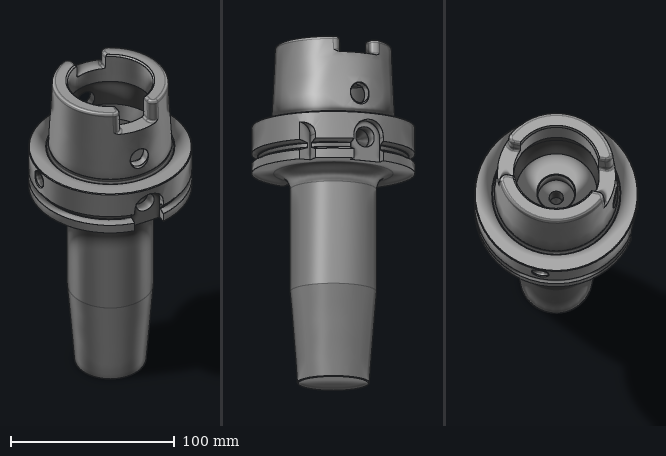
import cadquery as cq
import math

top_z = 49.9
tip_z = -160.0

gauge_z = 10.0
gauge_radius = 37.5
taper_slope = 0.05
top_round = 2.0

relief_top_z = 2.6
relief_radius = 37.2
relief_outer_radius = 39.5
relief_depth = 0.6
relief_round = 1.0

flange_radius = 50.0
flange_chamfer = 0.5
flange_bottom_z = -29.1
groove_radius = 46.0
groove_upper_z = -16.9
groove_lower_z = -23.4
groove_flank_height = 1.7
groove_fillet = 0.5

neck_radius = 26.5
neck_fillet = 10.0
nose_radius = 22.0
nose_angle = math.radians(4.5)
nose_chamfer = 0.5

mouth_radius = 27.2
bore_radius = 26.2
bore_end_z = 30.2
undercut_radius = 31.5
undercut_end_z = 9.3
floor_radius = 25.0
tube_seat_radius = 11.9
tube_seat_depth = 10.0
tube_seat_chamfer = 0.5
coolant_hole_radius = 4.3
coolant_hole_depth = 12.0

drive_slot_width = 20.0
drive_slot_floor_left = 40.0
drive_slot_floor_right = 35.0
drive_slot_corner = 4.0
drive_slot_floor_fillet = 1.5

cross_hole_radius = 6.2
cross_hole_z = 14.8
cross_hole_chamfer = 0.7

keyway_width = 20.0
keyway_arc_z = -14.3
keyway_floor_x = 44.0
keyway_hole_radius = 6.3
keyway_hole_z = -14.2
keyway_hole_depth = 8.0

notch_floor_x = 31.8
notch_wall_y = 31.3
notch_arc_radius = 8.0
notch_arc_z = -14.0

chip_radius = 5.0
chip_chamfer = 0.7
chip_z = -7.3
chip_depth = 4.6
chip_pilot_radius = 0.5
chip_pilot_depth = 2.0

drill_half_angle = math.radians(59)
tolerance = 0.01


def taper_radius(z):
    return gauge_radius - taper_slope * (z - gauge_z)


def make_body():
    """Solid of revolution for the nose, neck, flange and tapered shank."""
    nose_start_z = tip_z + (neck_radius - nose_radius) / math.tan(nose_angle)
    nose_chamfer_radius = nose_radius + nose_chamfer * math.tan(nose_angle)
    fillet_mid = neck_fillet * (1 - math.sqrt(0.5))
    relief_step = taper_radius(relief_top_z) - relief_radius
    body = (
        cq.Workplane("XZ")
        .moveTo(0, tip_z)
        .lineTo(nose_radius - nose_chamfer, tip_z)
        .lineTo(nose_chamfer_radius, tip_z + nose_chamfer)
        .lineTo(neck_radius, nose_start_z)
        .lineTo(neck_radius, flange_bottom_z - neck_fillet)
        .threePointArc(
            (neck_radius + fillet_mid, flange_bottom_z - fillet_mid),
            (neck_radius + neck_fillet, flange_bottom_z),
        )
        .lineTo(flange_radius, flange_bottom_z)
        .lineTo(flange_radius, groove_lower_z)
        .lineTo(groove_radius, groove_lower_z + groove_flank_height)
        .lineTo(groove_radius, groove_upper_z - groove_flank_height)
        .lineTo(flange_radius, groove_upper_z)
        .lineTo(flange_radius, -flange_chamfer)
        .lineTo(flange_radius - flange_chamfer, 0)
        .lineTo(relief_outer_radius, 0)
        .lineTo(relief_outer_radius - relief_depth, -relief_depth)
        .lineTo(relief_radius + relief_round, -relief_depth)
        .radiusArc((relief_radius, relief_round - relief_depth), relief_round)
        .lineTo(relief_radius, relief_top_z - relief_step)
        .lineTo(taper_radius(relief_top_z), relief_top_z)
        .lineTo(taper_radius(top_z), top_z)
        .lineTo(0, top_z)
        .close()
        .revolve(360, (0, 0, 0), (0, 1, 0))
    )
    return round_groove_floor(body)


def round_groove_floor(body):
    """Fillets in both inner corners of the V groove."""
    upper_z = groove_upper_z - groove_flank_height
    lower_z = groove_lower_z + groove_flank_height
    corners = [
        edge
        for edge in body.edges("%CIRCLE").vals()
        if min(abs(edge.Center().z - upper_z), abs(edge.Center().z - lower_z)) < tolerance
    ]
    return body.newObject(corners).fillet(groove_fillet)


def make_cavity():
    """Bore, undercut with a 45-degree foot, coolant tube seat and drilled coolant hole."""
    mouth_chamfer = mouth_radius - bore_radius
    floor_z = undercut_end_z - (undercut_radius - floor_radius)
    seat_z = floor_z - tube_seat_depth
    hole_z = seat_z - coolant_hole_depth
    cone_height = coolant_hole_radius / math.tan(drill_half_angle)
    return (
        cq.Workplane("XZ")
        .moveTo(0, top_z)
        .lineTo(mouth_radius, top_z)
        .lineTo(bore_radius, top_z - mouth_chamfer)
        .lineTo(bore_radius, bore_end_z)
        .lineTo(undercut_radius, bore_end_z)
        .lineTo(undercut_radius, undercut_end_z)
        .lineTo(floor_radius, floor_z)
        .lineTo(tube_seat_radius, floor_z)
        .lineTo(tube_seat_radius - tube_seat_chamfer, floor_z - tube_seat_chamfer)
        .lineTo(tube_seat_radius - tube_seat_chamfer, seat_z)
        .lineTo(coolant_hole_radius, seat_z)
        .lineTo(coolant_hole_radius, hole_z)
        .lineTo(0, hole_z - cone_height)
        .close()
        .revolve(360, (0, 0, 0), (0, 1, 0))
    )


def on_slot_wall(edge):
    return abs(abs(edge.Center().y) - drive_slot_width / 2) < tolerance


def is_outer_corner(edge):
    upright = edge.BoundingBox().zlen > (top_z - drive_slot_floor_left) / 2
    return upright and abs(edge.Center().x) > bore_radius


def is_floor_corner(edge):
    return edge.geomType() == "LINE" and edge.Center().z < top_z - top_round


def cut_drive_slots(body):
    """Two slots of unequal depth, with their corners, floors and the rim rounded."""
    for side, floor in ((-1, drive_slot_floor_left), (1, drive_slot_floor_right)):
        slot = cq.Workplane("XY").box(
            2 * gauge_radius, drive_slot_width, top_z, centered=(True, True, False)
        )
        body = body.cut(slot.translate((side * gauge_radius, 0, floor)))

    corners = [e for e in body.edges().vals() if on_slot_wall(e) and is_outer_corner(e)]
    body = body.newObject(corners).fillet(drive_slot_corner)
    body = body.faces(">Z").edges().fillet(top_round)
    floors = [e for e in body.edges().vals() if on_slot_wall(e) and is_floor_corner(e)]
    return body.newObject(floors).fillet(drive_slot_floor_fillet)


def make_cross_hole():
    hole = cq.Workplane("YZ").center(0, cross_hole_z).circle(cross_hole_radius)
    hole = hole.extrude(flange_radius, both=True)
    surface_x = taper_radius(cross_hole_z)
    for side in (-1, 1):
        countersink = cq.Solid.makeCone(
            cross_hole_radius,
            cross_hole_radius + 2 * cross_hole_chamfer,
            2 * cross_hole_chamfer,
            cq.Vector(side * (surface_x - cross_hole_chamfer), 0, cross_hole_z),
            cq.Vector(side, 0, 0),
        )
        hole = hole.union(cq.Workplane(countersink))
    return hole


def drilled_hole(radius, depth, start, direction):
    """Blind drilled hole with a conical end."""
    tip = radius / math.tan(drill_half_angle)
    shaft = cq.Solid.makeCylinder(radius, depth, start, direction)
    point = cq.Solid.makeCone(radius, 0, tip, start + direction * depth, direction)
    return cq.Workplane(shaft).union(cq.Workplane(point))


def make_keyway(side):
    """Round-topped slot, open through the lower flange face, with a drilled hole in its floor."""
    half_width = keyway_width / 2
    slot = (
        cq.Workplane("YZ")
        .moveTo(-half_width, flange_bottom_z)
        .lineTo(-half_width, keyway_arc_z)
        .threePointArc((0, keyway_arc_z + half_width), (half_width, keyway_arc_z))
        .lineTo(half_width, flange_bottom_z)
        .close()
        .extrude(side * flange_radius)
        .translate((side * keyway_floor_x, 0, 0))
    )
    hole = drilled_hole(
        keyway_hole_radius,
        keyway_hole_depth,
        cq.Vector(side * keyway_floor_x, 0, keyway_hole_z),
        cq.Vector(-side, 0, 0),
    )
    return slot.union(hole)


def make_notch():
    """Quarter-round-topped notch with a flat floor, open to +Y and through the lower face."""
    arc_mid = notch_arc_radius * math.sqrt(0.5)
    arc_center_y = notch_wall_y + notch_arc_radius
    arc_top_z = notch_arc_z + notch_arc_radius
    return (
        cq.Workplane("YZ")
        .moveTo(notch_wall_y, flange_bottom_z)
        .lineTo(notch_wall_y, notch_arc_z)
        .threePointArc((arc_center_y - arc_mid, notch_arc_z + arc_mid), (arc_center_y, arc_top_z))
        .lineTo(flange_radius, arc_top_z)
        .lineTo(flange_radius, flange_bottom_z)
        .close()
        .extrude(-flange_radius)
        .translate((-notch_floor_x, 0, 0))
    )


def make_chip_pocket():
    inward = cq.Vector(0, 1, 0)
    pocket = cq.Solid.makeCylinder(
        chip_radius, chip_depth, cq.Vector(0, -flange_radius, chip_z), inward
    )
    countersink = cq.Solid.makeCone(
        chip_radius + chip_chamfer,
        chip_radius,
        chip_chamfer,
        cq.Vector(0, -flange_radius, chip_z),
        inward,
    )
    pilot = cq.Solid.makeCylinder(
        chip_pilot_radius,
        chip_depth + chip_pilot_depth,
        cq.Vector(0, -flange_radius, chip_z),
        inward,
    )
    return cq.Workplane(pocket).union(cq.Workplane(countersink)).union(cq.Workplane(pilot))


result = (
    cut_drive_slots(make_body())
    .cut(make_cavity())
    .cut(make_cross_hole())
    .cut(make_keyway(-1))
    .cut(make_keyway(1))
    .cut(make_notch())
    .cut(make_chip_pocket())
)